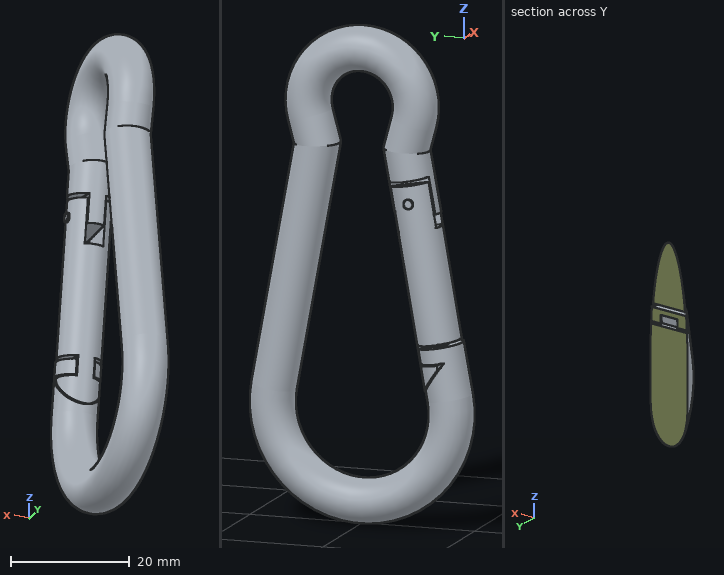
import cadquery as cq
import math

height = 85.6
overall_width = 39.6
wire_diameter = 7.8
gate_diameter = 7.6
wire_radius = wire_diameter / 2

upper_outer_radius = 13.4
upper_bend_radius = upper_outer_radius - wire_radius
lower_bend_radius = overall_width / 2 - wire_radius
upper_centre_z = height / 2 - upper_outer_radius
lower_centre_z = -height / 2 + overall_width / 2
neck_angle = math.radians(15.0)
kink_z = 22.2

gate_top = 5.7
hinge_gap = 0.8
gate_end = 33.2
nose_gap = 0.6
pin_station = 8.8
slot_end = 13.7
catch_top = 36.5

pin_diameter = 1.6
pin_length = 8.1
gate_swing = 0.4
tongue_width = 3.0
tongue_end_z = 11.6
slot_width = 3.3
catch_depth = 1.3
catch_slope_angle = math.radians(44.0)
nose_depth = 0.25
nose_clearance = 0.25
neck_width = 3.0

kink_y = (upper_bend_radius + (kink_z - upper_centre_z) * math.sin(neck_angle)) / math.cos(neck_angle)
kink_height = kink_z - lower_centre_z
lean = math.atan2(kink_height, kink_y) - math.acos(lower_bend_radius / math.hypot(kink_y, kink_height))
upper_end_y = upper_bend_radius * math.cos(neck_angle)
upper_end_z = upper_centre_z - upper_bend_radius * math.sin(neck_angle)
lower_end_y = lower_bend_radius * math.cos(lean)
lower_end_z = lower_centre_z + lower_bend_radius * math.sin(lean)

arm_plane = cq.Plane(
    origin=(0, -kink_y, kink_z),
    xDir=(0, -math.cos(lean), math.sin(lean)),
    normal=(-1, 0, 0),
)


def arm_block(inner, outer, top, bottom, width):
    """Block given by its reach across the arm and its stations along it."""
    return (
        cq.Workplane(arm_plane)
        .center((inner + outer) / 2, -(top + bottom) / 2)
        .rect(outer - inner, bottom - top)
        .extrude(width / 2, both=True)
    )


def arm_cylinder(diameter, top, bottom):
    """Round bar on the arm axis between two stations."""
    start = arm_plane.toWorldCoords((0, -top, 0))
    section = cq.Plane(origin=start.toTuple(), xDir=(1, 0, 0), normal=(-arm_plane.yDir).toTuple())
    return cq.Workplane(section).circle(diameter / 2).extrude(bottom - top)


def catch_prism(depth, top):
    """Wedge that opens inward, under a face square to the arm."""
    inner = -wire_diameter
    slope = math.tan(catch_slope_angle)
    depth_station = catch_top + (catch_depth - depth) * slope
    inner_station = catch_top + (catch_depth - inner) * slope
    points = [(inner, -top), (depth, -top), (inner, -inner_station)]
    if depth < catch_depth:
        points.insert(2, (depth, -depth_station))
    return cq.Workplane(arm_plane).polyline(points).close().extrude(wire_diameter, both=True)


def make_frame():
    """Closed wire loop, mitred at the two kinks."""
    path = (
        cq.Workplane("YZ")
        .moveTo(-lower_end_y, lower_end_z)
        .threePointArc((0, lower_centre_z - lower_bend_radius), (lower_end_y, lower_end_z))
        .lineTo(kink_y, kink_z)
        .lineTo(upper_end_y, upper_end_z)
        .threePointArc((0, upper_centre_z + upper_bend_radius), (-upper_end_y, upper_end_z))
        .lineTo(-kink_y, kink_z)
        .lineTo(-lower_end_y, lower_end_z)
    )
    section = cq.Plane(
        origin=(0, -lower_end_y, lower_end_z),
        xDir=(1, 0, 0),
        normal=(-arm_plane.yDir).toTuple(),
    )
    return cq.Workplane(section).circle(wire_radius).sweep(path, transition="right")


def cut_gate_opening(frame):
    """Open the arm, leaving the hinge tongue, and cut the catch."""
    reach = wire_diameter
    opening = arm_block(-reach, reach, gate_top - hinge_gap, gate_end + nose_gap, 2 * reach)
    tongue = arm_block(-reach, reach, gate_top - hinge_gap, slot_end, tongue_width)
    above_tongue_end = cq.Workplane("XY", origin=(0, 0, tongue_end_z)).rect(height, height).extrude(height)
    tongue = tongue.intersect(above_tongue_end)
    neck_slot = arm_block(-reach, catch_depth, gate_end, catch_top, slot_width)
    catch = catch_prism(catch_depth, catch_top)
    return frame.cut(opening.cut(tongue)).cut(neck_slot).cut(catch)


def make_gate():
    """Gate bar with a hinge slot, a thin neck and a wedge nose."""
    reach = wire_diameter
    nose_top = catch_top + nose_clearance
    bar = arm_cylinder(gate_diameter, gate_top, gate_end)
    bar = bar.cut(arm_block(-reach, reach, gate_top, slot_end, slot_width))
    neck = arm_block(-reach, nose_depth, gate_end, nose_top, neck_width)
    nose = catch_prism(nose_depth, nose_top)
    round_envelope = arm_cylinder(gate_diameter, gate_end, catch_top + 2 * wire_diameter)
    gate = bar.union(neck.union(nose).intersect(round_envelope))
    pivot = arm_plane.toWorldCoords((0, -pin_station, 0))
    return gate.rotate(pivot.toTuple(), (pivot - arm_plane.zDir).toTuple(), gate_swing)


def make_pin():
    """Hinge pin across the arm."""
    return (
        cq.Workplane(arm_plane)
        .center(0, -pin_station)
        .circle(pin_diameter / 2)
        .extrude(pin_length / 2, both=True)
    )


result = cut_gate_opening(make_frame()).union(make_gate()).union(make_pin())